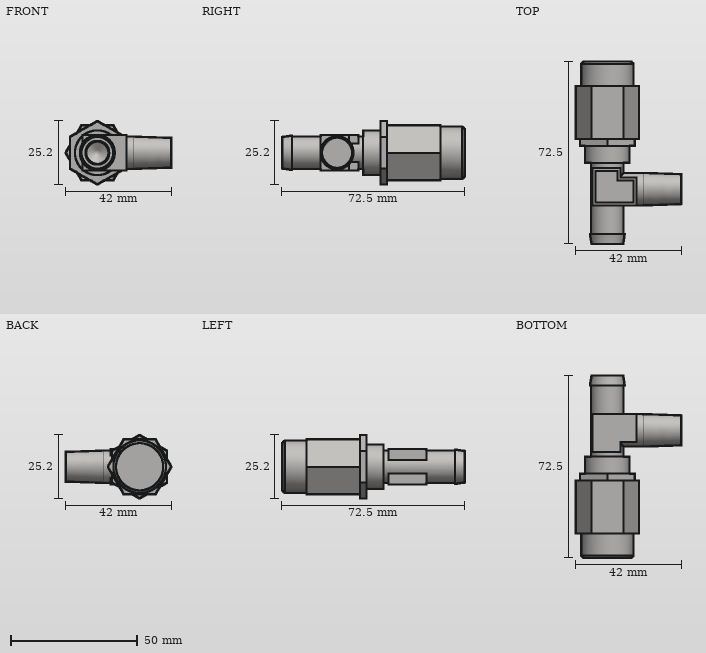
import cadquery as cq
import math


total_length = 72.5
barb_length = 4.0
branch_station = 21.8
collar_start = 32.2
flange_start = 38.95
nut_start = 41.6
cap_start = 62.8

tube_diameter = 13.0
barb_diameter = 13.85
barb_tip_diameter = 12.6
collar_diameter = 17.8
hex_corner_diameter = 25.25
cap_diameter = 20.9
cap_chamfer = 1.1

overall_width = 42.0
branch_reach = overall_width - hex_corner_diameter / 2
branch_taper_start = 14.35
branch_tip_diameter = 12.0

block_left = -5.95
block_right = 11.6
block_step_x = 5.3
block_height = 14.2
block_start = branch_station - tube_diameter / 2
block_end = 30.3
block_step_y = 26.5
panel_margin = 1.2
panel_depth = 0.2

bore_diameter = 9.4
bore_tip_diameter = 8.85
bore_depth = branch_station
drill_angle = 118.0


def along_y(station):
    """Y coordinate of a distance from the outlet end."""
    return station - branch_station


def section_plane(station):
    """Sketch plane across the main axis: local x is -X, local y is Z, normal is +Y."""
    return cq.Workplane(cq.Plane((0, along_y(station), 0), (-1, 0, 0), (0, 1, 0)))


def make_round(diameter, start, end):
    return section_plane(start).circle(diameter / 2).extrude(end - start)


def make_hex(start, end, turn):
    """Hexagonal prism; a turn of 0 puts two corners on the X axis."""
    prism = section_plane(start).polygon(6, hex_corner_diameter).extrude(end - start)
    return prism.rotate((0, 0, 0), (0, 1, 0), turn)


def make_barb():
    return (
        section_plane(0)
        .circle(barb_tip_diameter / 2)
        .workplane(offset=barb_length)
        .circle(barb_diameter / 2)
        .loft()
    )


def make_branch():
    profile = [
        (0, 0),
        (0, tube_diameter / 2),
        (branch_taper_start, tube_diameter / 2),
        (branch_reach, branch_tip_diameter / 2),
        (branch_reach, 0),
    ]
    return cq.Workplane("XY").polyline(profile).close().revolve(360, (0, 0), (1, 0))


def l_outline(plane, margin):
    """Outline of the block, drawn inwards by the margin."""
    left = block_left + margin
    right = block_right - margin
    step_x = block_step_x - margin
    bottom = along_y(block_start) + margin
    top = along_y(block_end) - margin
    step_y = along_y(block_step_y) - margin
    points = [
        (left, bottom),
        (right, bottom),
        (right, step_y),
        (step_x, step_y),
        (step_x, top),
        (left, top),
    ]
    return plane.polyline(points).close()


def make_block():
    base = cq.Workplane("XY").workplane(offset=-block_height / 2)
    return l_outline(base, 0).extrude(block_height)


def make_panel_recess():
    floor = cq.Workplane("XY").workplane(offset=block_height / 2 - panel_depth)
    return l_outline(floor, panel_margin).extrude(panel_depth)


def make_bore():
    cone_depth = bore_tip_diameter / 2 / math.tan(math.radians(drill_angle / 2))
    mouth = along_y(0)
    shoulder = mouth + bore_depth
    profile = [
        (0, mouth),
        (bore_diameter / 2, mouth),
        (bore_diameter / 2, shoulder),
        (bore_tip_diameter / 2, shoulder),
        (0, shoulder + cone_depth),
    ]
    return cq.Workplane("XY").polyline(profile).close().revolve(360, (0, 0), (0, 1))


cap = make_round(cap_diameter, cap_start, total_length).faces(">Y").chamfer(cap_chamfer)

result = (
    make_barb()
    .union(make_round(tube_diameter, barb_length, collar_start))
    .union(make_round(collar_diameter, collar_start, flange_start))
    .union(make_hex(flange_start, nut_start, 30))
    .union(make_hex(nut_start, cap_start, 0))
    .union(cap)
    .union(make_branch())
    .union(make_block())
    .cut(make_panel_recess())
    .cut(make_bore())
)